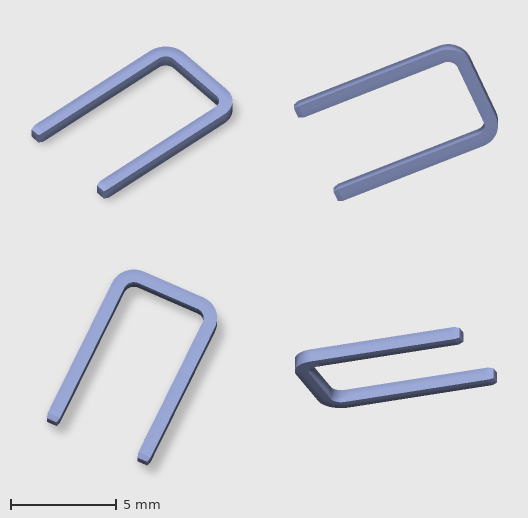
import cadquery as cq
import math

width = 5.38
length = 8.64
wire = 0.64

inner_radius = 0.5
outer_radius = inner_radius + wire
tip_length = 0.25
tip_angle = 15.0

leg_offset = (width - wire) / 2
crown_y = length / 2
tip_y = -length / 2
taper_start_y = tip_y + tip_length
tip_width = wire - 2 * tip_length * math.tan(math.radians(tip_angle))


def rounded_block(block_width, top_y, corner_radius):
    """Block from the taper start up to top_y, with its two far corners rounded."""
    return (
        cq.Workplane("XY")
        .box(block_width, top_y - taper_start_y, wire)
        .translate((0, (top_y + taper_start_y) / 2, 0))
        .edges("|Z and >Y")
        .fillet(corner_radius)
    )


def tapered_tip(center_x):
    """Square frustum closing the free end of a leg, narrowing toward -Y."""
    return (
        cq.Workplane("XZ", origin=(center_x, taper_start_y, 0))
        .rect(wire, wire)
        .workplane(offset=tip_length)
        .rect(tip_width, tip_width)
        .loft(ruled=True)
    )


outer_block = rounded_block(width, crown_y, outer_radius)
opening = rounded_block(width - 2 * wire, crown_y - wire, inner_radius)
result = outer_block.cut(opening)

for center_x in (-leg_offset, leg_offset):
    result = result.union(tapered_tip(center_x))